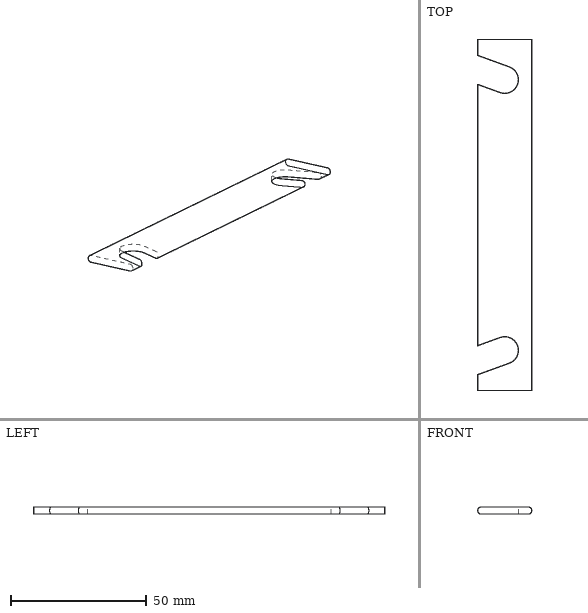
import cadquery as cq

length = 130.0
width = 20.0
thickness = 2.7
edge_radius = 1.3

slot_width = 10.0
slot_radius = slot_width / 2
slot_end_inset = 15.0
slot_tilt = 20.0
slot_reach = width


def slot_cutter(end):
    """Round-ended slot running out of -X; end is +1 for the +Y slot, -1 for the -Y slot."""
    channel = (
        cq.Workplane("XY")
        .center(-slot_reach / 2, 0)
        .rect(slot_reach, slot_width)
        .extrude(thickness, both=True)
    )
    round_end = cq.Workplane("XY").circle(slot_radius).extrude(thickness, both=True)
    cutter = channel.union(round_end).rotate((0, 0, 0), (0, 0, 1), -end * slot_tilt)
    return cutter.translate((0, end * (length / 2 - slot_end_inset), 0))


result = cq.Workplane("XY").box(width, length, thickness).edges("|Y").fillet(edge_radius)

for end in (1, -1):
    result = result.cut(slot_cutter(end))